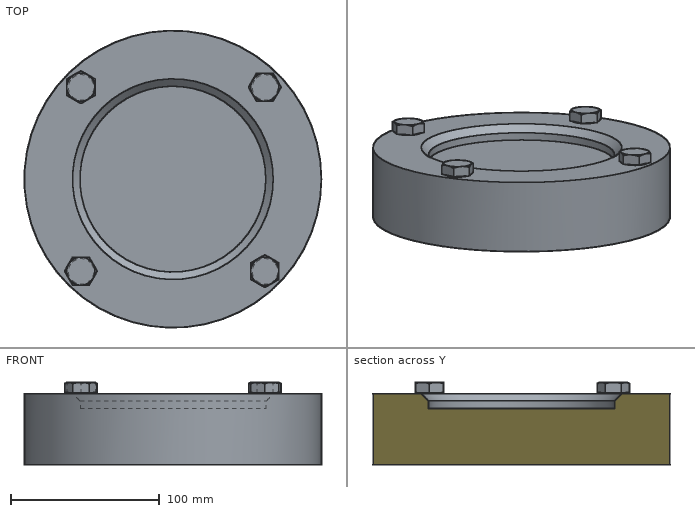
import cadquery as cq
import math

body_diameter = 200.0
body_height = 48.0

recess_diameter = 125.0
recess_depth = 10.0
lead_in = 5.0

bolt_count = 4
bolt_circle_diameter = 175.0
first_bolt_angle = 45.0
head_height = 7.5
head_across_flats = 19.0
head_across_corners = head_across_flats / math.cos(math.radians(30))
washer_face_diameter = 17.2
washer_face_height = 0.6
head_chamfer_angle = 30.0


def make_body():
    """Round body with its bottom face at Z = 0."""
    return cq.Workplane("XY").circle(body_diameter / 2).extrude(body_height)


def make_recess():
    """Volume removed from the top face of the body."""
    bore_radius = recess_diameter / 2
    floor_z = body_height - recess_depth
    return (
        cq.Workplane("XZ")
        .moveTo(0, floor_z)
        .lineTo(bore_radius, floor_z)
        .lineTo(bore_radius, body_height - lead_in)
        .lineTo(bore_radius + lead_in, body_height)
        .lineTo(0, body_height)
        .close()
        .revolve(360, (0, 0, 0), (0, 1, 0))
    )


def make_head():
    """Hexagon head on a round washer face, corners on X, seated at Z = 0."""
    washer_face = cq.Workplane("XY").circle(washer_face_diameter / 2).extrude(washer_face_height)
    hexagon = (
        cq.Workplane("XY")
        .workplane(offset=washer_face_height)
        .polygon(6, head_across_corners)
        .extrude(head_height - washer_face_height)
    )
    top_radius = head_across_flats / 2
    corner_radius = head_across_corners / 2
    bevel_drop = (corner_radius - top_radius) * math.tan(math.radians(head_chamfer_angle))
    envelope = (
        cq.Workplane("XZ")
        .lineTo(corner_radius, 0)
        .lineTo(corner_radius, head_height - bevel_drop)
        .lineTo(top_radius, head_height)
        .lineTo(0, head_height)
        .close()
        .revolve(360, (0, 0, 0), (0, 1, 0))
    )
    return washer_face.union(hexagon.intersect(envelope))


def place_head(head, angle):
    """Set a head on the bolt circle, turned with its position angle."""
    return (
        head.translate((bolt_circle_diameter / 2, 0, body_height))
        .rotate((0, 0, 0), (0, 0, 1), angle)
    )


result = make_body().cut(make_recess())

bolt_head = make_head().rotate((0, 0, 0), (0, 0, 1), -first_bolt_angle)
for index in range(bolt_count):
    bolt_angle = first_bolt_angle + index * 360 / bolt_count
    result = result.union(place_head(bolt_head, bolt_angle))